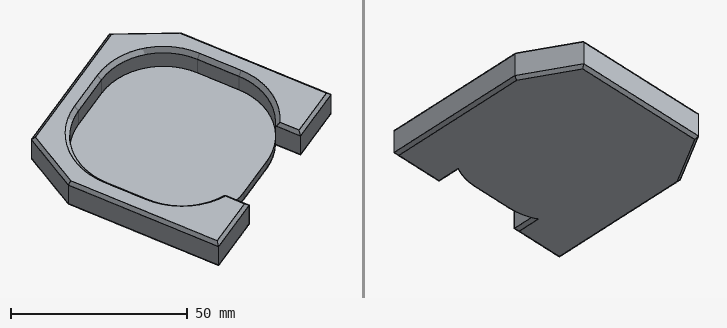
import cadquery as cq
import math

side = 66.0
height = 10.0
half_side = side / 2
corner_cut_angle = 30.0
corner_cut_x = 17.5
corner_cut_y = corner_cut_x * math.tan(math.radians(corner_cut_angle))
edge_chamfer = 1.0

pocket_side = 53.4
pocket_radius = 20.0
rim_chamfer = 1.3
rim_side = pocket_side + 2 * rim_chamfer
rim_radius = pocket_radius + rim_chamfer
rim_taper = 45.0
floor_thickness = 3.0

slot_width = 30.0
half_slot = slot_width / 2
slot_end_x = 0.0


def plate_blank():
    """Plate with both -X corners cut off and a full-height slot from the +X side."""
    outline = [
        (-half_side, -half_side + corner_cut_y),
        (-half_side + corner_cut_x, -half_side),
        (half_side, -half_side),
        (half_side, -half_slot),
        (slot_end_x, -half_slot),
        (slot_end_x, half_slot),
        (half_side, half_slot),
        (half_side, half_side),
        (-half_side + corner_cut_x, half_side),
        (-half_side, half_side - corner_cut_y),
    ]
    blank = cq.Workplane("XY").polyline(outline).close().extrude(height)
    return blank.faces("<Z or >Z").chamfer(edge_chamfer)


def pocket_column(column_height):
    """Column with the pocket's rounded square outline, standing on Z = 0."""
    column = cq.Workplane("XY").rect(pocket_side, pocket_side).extrude(column_height)
    return column.edges("|Z").fillet(pocket_radius)


def rim_flare():
    """Tapered disc that chamfers the pocket's top rim."""
    top_plane = cq.Workplane("XY").workplane(offset=height)
    rim_outline = top_plane.sketch().rect(rim_side, rim_side).vertices().fillet(rim_radius).finalize()
    return rim_outline.extrude(-rim_chamfer, taper=rim_taper)


pocket_cutter = pocket_column(height).union(rim_flare())
pocket_floor = pocket_column(floor_thickness)
result = plate_blank().cut(pocket_cutter).union(pocket_floor)